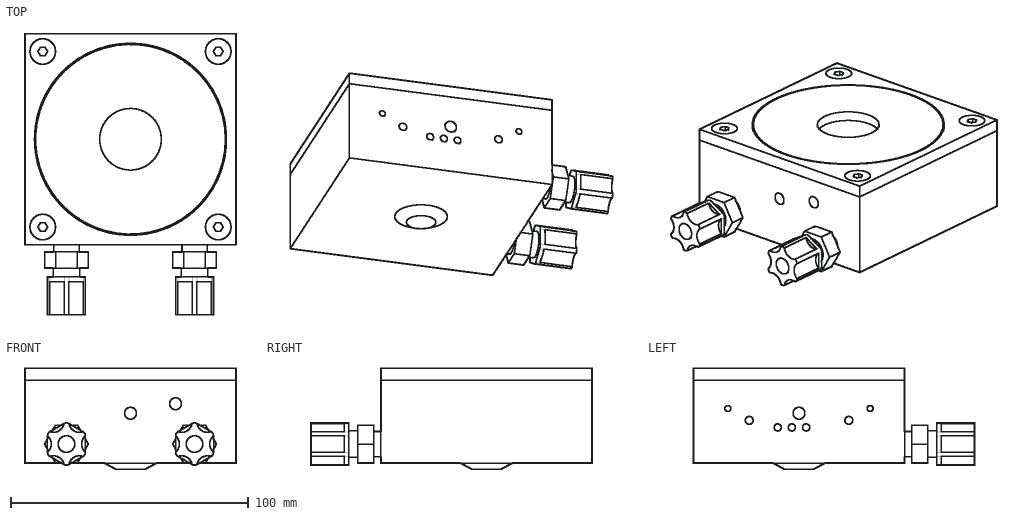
import cadquery as cq
import math

side = 89.0
total_height = 40.0
cover_thickness = 5.0
base_height = total_height - cover_thickness
front_y = -side / 2
left_x = -side / 2

insert_diameter = 80.0
insert_gap = 0.5
insert_recess_diameter = 26.0
insert_recess_depth = 4.0

screw_offset = 37.0
screw_head_diameter = 10.8
socket_across_flats = 3.5
socket_depth = 3.0

boss_top_radius = 11.1
boss_bottom_radius = 6.2
boss_height = 2.66

port_depth = 10.0
main_port_diameter = 5.0
main_port_z = 21.0
front_ports = [
    (0.0, main_port_z, main_port_diameter),
    (19.0, 25.0, main_port_diameter),
]
left_ports = [
    (0.0, main_port_z, main_port_diameter),
    (-3.0, 15.0, 3.0),
    (3.0, 15.0, 3.0),
    (9.0, 15.0, 3.0),
    (-21.0, 18.0, 3.3),
    (21.0, 18.0, 3.3),
    (-30.0, 23.0, 2.5),
    (30.0, 23.0, 2.5),
]

fitting_offset = 27.0
across_flats = 16.0
fitting_z = across_flats / 2
stub_diameter = 10.8
stub_length = 3.0
hex_length = 6.8
neck_diameter = 11.3
neck_length = 3.7
nut_length = 16.0
nut_corner_radius = 2.0
nut_collar_length = 2.0
flute_half_width = 3.45
flute_sink = 1.6
bore_diameter = 7.0


def hexagon_diameter(flats):
    """Corner-to-corner size of a hexagon with the given size across flats."""
    return flats / math.cos(math.pi / 6)


def front_plane(distance):
    """Plane parallel to the front face, the given distance in front of it, facing outwards."""
    return cq.Workplane("XZ", origin=(0, front_y - distance, 0))


def make_base():
    base = cq.Workplane("XY").rect(side, side).extrude(base_height)
    for x, z, diameter in front_ports:
        port = front_plane(0).center(x, z).circle(diameter / 2).extrude(-port_depth)
        base = base.cut(port)
    for y, z, diameter in left_ports:
        left_face = cq.Workplane("YZ", origin=(left_x, 0, 0))
        base = base.cut(left_face.center(y, z).circle(diameter / 2).extrude(port_depth))
    return base


def make_cover():
    opening_diameter = insert_diameter + 2 * insert_gap
    cover = cq.Workplane("XY", origin=(0, 0, base_height)).rect(side, side).extrude(cover_thickness)
    return (
        cover.faces(">Z").workplane().hole(opening_diameter)
        .faces(">Z").workplane()
        .rect(2 * screw_offset, 2 * screw_offset, forConstruction=True)
        .vertices().hole(screw_head_diameter)
    )


def make_insert():
    seat = cq.Workplane("XY", origin=(0, 0, base_height))
    disc = seat.circle(insert_diameter / 2).extrude(cover_thickness)
    return disc.faces(">Z").workplane().hole(insert_recess_diameter, insert_recess_depth)


def make_screw(x, y):
    seat = cq.Workplane("XY", origin=(x, y, base_height))
    head = seat.circle(screw_head_diameter / 2).extrude(cover_thickness)
    socket_size = hexagon_diameter(socket_across_flats)
    return head.faces(">Z").workplane().polygon(6, socket_size).cutBlind(-socket_depth)


def make_boss():
    boss_bottom = cq.Vector(0, 0, -boss_height)
    cone = cq.Solid.makeCone(boss_bottom_radius, boss_top_radius, boss_height, pnt=boss_bottom)
    return cq.Workplane("XY").add(cone)


def make_nut(x, start):
    """Hexagonal union nut with rounded corners and a flute in each flat ahead of a plain collar."""
    nut = (
        front_plane(start).center(x, fitting_z)
        .transformed(rotate=(0, 0, 30))
        .polygon(6, hexagon_diameter(across_flats)).extrude(nut_length)
        .edges("|Y").fillet(nut_corner_radius)
    )
    flute_radius = (flute_half_width**2 + flute_sink**2) / (2 * flute_sink)
    flute_distance = across_flats / 2 - flute_sink + flute_radius
    flutes = (
        front_plane(start + nut_collar_length).center(x, fitting_z)
        .polarArray(flute_distance, 0, 360, 6)
        .circle(flute_radius).extrude(nut_length - nut_collar_length)
    )
    return nut.cut(flutes)


def make_fitting(x):
    hex_start = stub_length
    neck_start = hex_start + hex_length
    nut_start = neck_start + neck_length
    stub = front_plane(0).center(x, fitting_z).circle(stub_diameter / 2).extrude(stub_length)
    hexagon = (
        front_plane(hex_start).center(x, fitting_z)
        .polygon(6, hexagon_diameter(across_flats)).extrude(hex_length)
    )
    neck = front_plane(neck_start).center(x, fitting_z).circle(neck_diameter / 2).extrude(neck_length)
    fitting = stub.union(hexagon).union(neck).union(make_nut(x, nut_start))
    bore = front_plane(nut_start).center(x, fitting_z).circle(bore_diameter / 2).extrude(nut_length)
    return fitting.cut(bore)


base = make_base()
cover = make_cover()
insert = make_insert()
boss = make_boss()
screws = [
    make_screw(x, y)
    for x in (-screw_offset, screw_offset)
    for y in (-screw_offset, screw_offset)
]
fittings = [make_fitting(x) for x in (-fitting_offset, fitting_offset)]

result = cq.Compound.makeCompound([
    base.val(),
    cover.val(),
    insert.val(),
    boss.val(),
    *[screw.val() for screw in screws],
    *[fitting.val() for fitting in fittings],
])